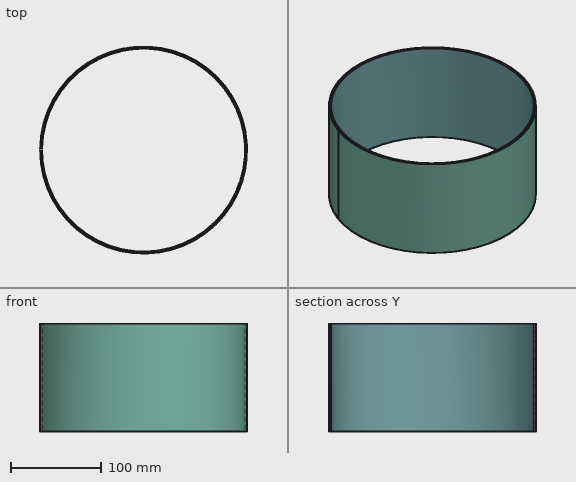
import math

import cadquery as cq

outer_diameter = 230.0
height = 120.0
wall = 2.5
edge_chamfer = 0.5
slit_width = 1.8

outer_radius = outer_diameter / 2
slit_angle = math.degrees(slit_width / outer_radius)

wall_section = (
    cq.Sketch()
    .rect(wall, height)
    .vertices()
    .chamfer(edge_chamfer)
)

section_x = -(outer_radius - wall / 2)
section_z = height / 2
axis_base = (-section_x, 0)
axis_top = (-section_x, 1)
result = (
    cq.Workplane("XZ")
    .center(section_x, section_z)
    .placeSketch(wall_section)
    .revolve(360 - slit_angle, axis_base, axis_top)
)